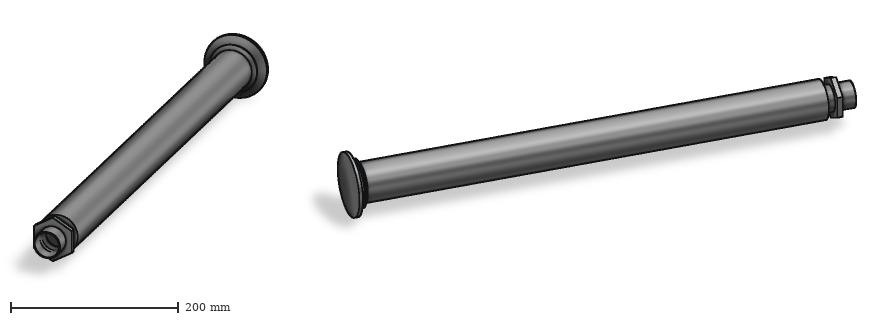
import cadquery as cq
import math

total_length = 636.0
flange_diameter = 80.0

rim_thickness = 4.5
cone_length = 7.0
collar_diameter = 61.0
collar_thickness = 1.0
collar_bevel_length = 3.0

body_diameter = 50.0
neck_length = 37.5
neck_diameter = 34.0
neck_bore_diameter = 31.0

nut_across_flats = 48.5
nut_thickness = 7.0
nut_setback = 20.0

back_y = total_length / 2
front_y = -back_y
rim_front_y = back_y - rim_thickness
cone_front_y = rim_front_y - cone_length
collar_y = cone_front_y - collar_thickness
collar_front_y = collar_y - collar_bevel_length
body_front_y = front_y + neck_length


def make_outer_shape():
    """Flange, collar, body and neck, revolved from one half profile."""
    profile = [
        (0, front_y),
        (neck_diameter / 2, front_y),
        (neck_diameter / 2, body_front_y),
        (body_diameter / 2, body_front_y),
        (body_diameter / 2, collar_front_y),
        (collar_diameter / 2, collar_y),
        (collar_diameter / 2, cone_front_y),
        (body_diameter / 2, cone_front_y),
        (flange_diameter / 2, rim_front_y),
        (flange_diameter / 2, back_y),
        (0, back_y),
    ]
    return cq.Workplane("XY").polyline(profile).close().revolve(360, (0, 0, 0), (0, 1, 0))


def make_nut():
    """Hexagonal plate; the neck passes through its centre."""
    across_corners = nut_across_flats / math.cos(math.pi / 6)
    start_y = front_y + nut_setback
    plane = cq.Plane(origin=(0, start_y, 0), xDir=(0, 0, 1), normal=(0, 1, 0))
    return cq.Workplane(plane).polygon(6, across_corners).extrude(nut_thickness)


def make_neck_bore():
    """Blind bore as deep as the neck is long."""
    plane = cq.Plane(origin=(0, front_y, 0), xDir=(1, 0, 0), normal=(0, 1, 0))
    return cq.Workplane(plane).circle(neck_bore_diameter / 2).extrude(neck_length)


result = make_outer_shape().union(make_nut()).cut(make_neck_bore())